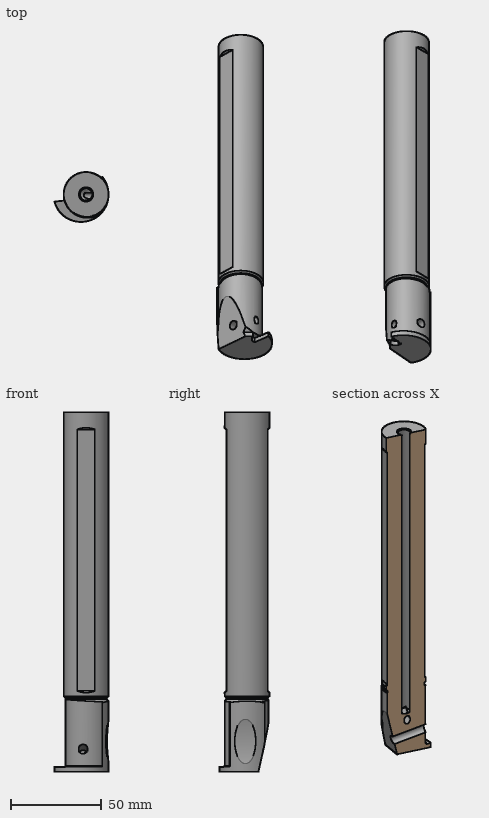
import cadquery as cq
import math

total_length = 199.55
shank_radius = 12.5
shank_end_z = 42.0
shank_chamfer = 1.0
flat_depth = 1.0
flat_low_z = 44.9
flat_high_z = 189.9

waist_radius = shank_radius - shank_chamfer
waist_low_z = 40.2

head_radius = 12.2
head_offset_x = 0.7
head_offset_y = -0.25
support_step_x = 9.0

blade_thickness = 2.8
blade_outer_radius = 15.32
blade_center_x = -2.80
blade_tip_y = -3.95
blade_rake_angle = 6.5
blade_root_bevel = 0.6

gullet_floor_x = -8.0
gullet_wall_y = -0.9
gullet_end_x = -11.6
gullet_end_y = 1.8
gullet_bulge = 0.5

corner_angle = 45.0
corner_runout_angle = 35.0

relief_y = 12.2
relief_top_z = 28.5
relief_angle = 13.0
relief_turn = 4.0

hollow_radius = 66.0
hollow_z = 17.0
hollow_floor_x = 11.4
hollow_turn = 4.0

bore_radius = 3.4
bore_mouth_radius = 4.0
bore_bottom_z = 25.0
drill_point_angle = 118.0
front_hole_diameter = 5.0
front_hole_x = -1.7
front_hole_z = 12.7
front_hole_slope = 9.5
side_hole_diameter = 3.4
side_hole_overrun = 3.0
side_hole_y = -0.7
side_hole_z = 12.0
side_hole_slope = 43.0
hole_lead_in = 4.0

reach = 60.0

blade_tip_x = blade_center_x - math.sqrt(blade_outer_radius**2 - blade_tip_y**2)


def cylinder_z(radius, low_z, high_z, x=0.0, y=0.0):
    return cq.Workplane("XY", origin=(x, y, low_z)).circle(radius).extrude(high_z - low_z)


def half_space(point, turn, tilt=0.0):
    """Block filling the +Y side of a plane through point, leaned about X and then turned about Z."""
    block = cq.Workplane("XY").box(2 * reach, reach, 2 * reach, centered=(True, False, True))
    block = block.rotate((0, 0, 0), (1, 0, 0), tilt).rotate((0, 0, 0), (0, 0, 1), turn)
    return block.translate(point)


def make_shank():
    shank = cylinder_z(shank_radius, shank_end_z - shank_chamfer, total_length)
    shank = shank.faces("<Z").chamfer(shank_chamfer)
    for side in (1, -1):
        floor = side * (shank_radius - flat_depth)
        surface = side * shank_radius
        pocket = (
            cq.Workplane("YZ", origin=(-shank_radius, 0, 0))
            .moveTo(floor, flat_low_z)
            .lineTo(surface, flat_low_z - flat_depth)
            .lineTo(surface, flat_high_z + flat_depth)
            .lineTo(floor, flat_high_z)
            .close()
            .extrude(2 * shank_radius)
        )
        shank = shank.cut(pocket)
    return shank


def make_head():
    top_z = shank_end_z - shank_chamfer
    right_side = cq.Workplane("XY", origin=(support_step_x, 0, 0)).box(
        reach, reach, 2 * reach, centered=(False, True, True)
    )
    core = cylinder_z(head_radius, 0, waist_low_z, head_offset_x, head_offset_y).cut(right_side)
    support = cylinder_z(blade_outer_radius, 0, waist_low_z, blade_center_x).intersect(right_side)
    body = core.union(support)
    shoulder_radius = waist_radius + waist_low_z
    cone = (
        cq.Workplane("XZ")
        .polyline([(0, 0), (shoulder_radius, 0), (waist_radius, waist_low_z), (0, waist_low_z)])
        .close()
        .revolve(360, (0, 0, 0), (0, 1, 0))
    )
    return body.intersect(cone).union(cylinder_z(waist_radius, waist_low_z, top_z))


def make_blade():
    disc = cylinder_z(blade_outer_radius, 0, blade_thickness, blade_center_x)
    root = (
        cq.Workplane("XY", origin=(head_offset_x, head_offset_y, blade_thickness))
        .circle(head_radius + blade_root_bevel)
        .extrude(blade_root_bevel, taper=45)
        .intersect(cylinder_z(blade_outer_radius, 0, 2 * blade_thickness, blade_center_x))
    )
    return disc.union(root).cut(half_space((blade_tip_x, blade_tip_y, 0), blade_rake_angle))


def cut_gullet(body):
    floor_y = blade_tip_y + (gullet_floor_x - blade_tip_x) * math.tan(math.radians(blade_rake_angle))
    arc_middle = (
        (gullet_floor_x + gullet_end_x) / 2 + gullet_bulge,
        (gullet_wall_y + gullet_end_y) / 2 + gullet_bulge,
    )
    gullet = (
        cq.Workplane("XY")
        .moveTo(blade_tip_x, blade_tip_y)
        .lineTo(gullet_floor_x, floor_y)
        .lineTo(gullet_floor_x, gullet_wall_y)
        .threePointArc(arc_middle, (gullet_end_x, gullet_end_y))
        .lineTo(blade_tip_x, gullet_end_y)
        .close()
        .extrude(blade_thickness)
    )
    return body.cut(gullet)


def cut_corner(body):
    """Remove the corner behind the gullet: an upright face below, leaning outward above the blade."""
    edge = (gullet_end_x, gullet_end_y, blade_thickness)
    upright = half_space(edge, corner_angle)
    runout = half_space(edge, corner_angle, -corner_runout_angle)
    behind_gullet = half_space(edge, 0)
    return body.cut(upright.intersect(runout).intersect(behind_gullet))


def cut_relief(body):
    slope = half_space((0, relief_y, relief_top_z), relief_turn, -relief_angle)
    return body.cut(slope.intersect(cylinder_z(reach, 0, waist_low_z)))


def cut_hollow(body):
    roller = (
        cq.Workplane("XZ", origin=(hollow_floor_x + hollow_radius, reach, hollow_z))
        .circle(hollow_radius)
        .extrude(2 * reach)
        .rotate((hollow_floor_x, 0, 0), (hollow_floor_x, 0, 1), -hollow_turn)
    )
    return body.cut(roller)


def make_bore():
    point_height = bore_radius / math.tan(math.radians(drill_point_angle / 2))
    mouth_depth = bore_mouth_radius - bore_radius
    profile = [
        (0, bore_bottom_z - point_height),
        (bore_radius, bore_bottom_z),
        (bore_radius, total_length - mouth_depth),
        (bore_mouth_radius, total_length),
        (0, total_length),
    ]
    return cq.Workplane("XZ").polyline(profile).close().revolve(360, (0, 0, 0), (0, 1, 0))


def make_front_hole():
    slope = math.radians(front_hole_slope)
    axis = cq.Vector(0, math.cos(slope), -math.sin(slope))
    mouth = cq.Vector(front_hole_x, -head_radius, front_hole_z)
    start = mouth - axis * hole_lead_in
    return cq.Workplane(cq.Solid.makeCylinder(front_hole_diameter / 2, 2 * reach, start, axis))


def make_side_hole():
    slope = math.radians(side_hole_slope)
    axis = cq.Vector(math.cos(slope), 0, math.sin(slope))
    mouth = cq.Vector(head_offset_x - head_radius, side_hole_y, side_hole_z)
    length = (side_hole_overrun - mouth.x) / math.cos(slope)
    start = mouth - axis * hole_lead_in
    return cq.Workplane(cq.Solid.makeCylinder(side_hole_diameter / 2, length + hole_lead_in, start, axis))


head = cut_corner(cut_gullet(make_head().union(make_blade())))
head = cut_hollow(cut_relief(head))
result = head.union(make_shank()).cut(make_bore()).cut(make_front_hole()).cut(make_side_hole())